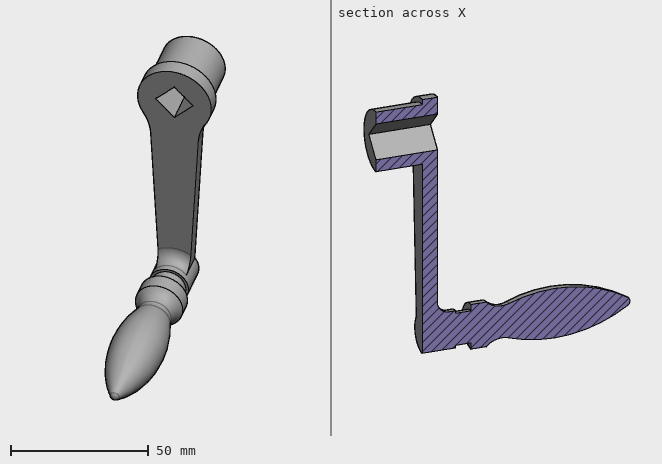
import cadquery as cq
import math


hub_head_radius = 14.0
hub_barrel_radius = 12.0
hub_barrel_length = 18.0
square_hole_side = 10.0

arm_thickness = 6.0
arm_length = 80.0
arm_taper = math.radians(3.0)
arm_half_width_at_hub = 9.9
hub_blend_radius = 18.0

boss_radius = 7.5
boss_end = 13.0
boss_fillet_radius = 4.6

neck_radius = 6.5
collar_radius = 9.0
collar_start = 19.0
collar_end = 25.0
throat_position = 31.0
belly_radius = 10.0
belly_position = 51.5
tip_radius = 2.0
handle_end = 81.0


def arm_half_width(distance):
    """Half width of the tapered arm at a distance below the hub axis."""
    return arm_half_width_at_hub - distance * math.tan(arm_taper)


def cylinder(radius, start, end, drop=0.0):
    """Cylinder along -Y from start to end, its axis lying drop below the hub axis."""
    return (
        cq.Workplane("XZ", origin=(0, -start, -drop))
        .circle(radius)
        .extrude(end - start)
    )


def arm_wedge(depth):
    """Tapered arm between the hub axis and the handle axis."""
    top = arm_half_width(0)
    bottom = arm_half_width(arm_length)
    return (
        cq.Workplane("XZ")
        .polyline([(-top, 0), (top, 0), (bottom, -arm_length), (-bottom, -arm_length)])
        .close()
        .extrude(depth)
    )


def make_arm():
    """Flat arm with a round head, blended where the sides leave the head."""
    plate = cylinder(hub_head_radius, 0, arm_thickness).union(arm_wedge(arm_thickness))
    corner_zone = cq.selectors.BoxSelector(
        (-hub_head_radius, -arm_thickness, -hub_head_radius),
        (hub_head_radius, 0, -hub_head_radius / 2),
    )
    plate = plate.edges("|Y").edges(corner_zone).fillet(hub_blend_radius)
    return plate.union(cylinder(boss_radius, 0, boss_end, arm_length))


def revolve_about_handle(profile):
    """Revolve a (radius, distance) profile about the handle axis."""
    return profile.close().revolve(360, (0, 0, 0), (0, 1, 0))


def handle_plane():
    """Sketch plane: first coordinate is radius, second runs along -Y on the handle axis."""
    plane = cq.Plane(origin=(0, 0, -arm_length), xDir=(0, 0, 1), normal=(1, 0, 0))
    return cq.Workplane(plane)


def make_boss_fillet():
    """Concave fillet between the boss and the arm face, cut off flush with the arm sides."""
    outer = boss_radius + boss_fillet_radius
    end = arm_thickness + boss_fillet_radius
    inset = boss_fillet_radius * (1 - math.sqrt(0.5))
    profile = (
        handle_plane()
        .moveTo(0, 0)
        .lineTo(outer, 0)
        .lineTo(outer, arm_thickness)
        .threePointArc((boss_radius + inset, arm_thickness + inset), (boss_radius, end))
        .lineTo(0, end)
    )
    return revolve_about_handle(profile).intersect(arm_wedge(end))


def make_handle():
    """Turned handle: neck, collar, throat, belly and rounded tip joined by tangent arcs."""
    tip_center = handle_end - tip_radius
    tip_run = tip_center - belly_position
    belly_curve = (tip_run**2 + belly_radius**2 - tip_radius**2) / (2 * (belly_radius - tip_radius))
    belly_center = belly_radius - belly_curve
    tip_angle = math.atan2(-belly_center, tip_run)
    tip_joint = (tip_radius * math.sin(tip_angle), tip_center + tip_radius * math.cos(tip_angle))

    throat_rise = belly_radius - neck_radius
    throat_run = belly_position - throat_position
    center_distance = (throat_run**2 + throat_rise**2) / (2 * throat_rise)
    throat_curve = center_distance - belly_curve
    throat_share = throat_curve / center_distance
    throat_joint = (
        neck_radius + throat_rise * throat_share,
        throat_position + throat_run * throat_share,
    )

    flare_run = throat_position - collar_end
    flare_rise = collar_radius - neck_radius
    flare_curve = (flare_run**2 + flare_rise**2) / (2 * flare_rise)

    def arc_radius_at(curve, run):
        """Handle radius on an arc of radius curve, at a run along the axis from the throat."""
        return neck_radius + curve - math.sqrt(curve**2 - run**2)

    flare_middle = (arc_radius_at(flare_curve, flare_run / 2), throat_position - flare_run / 2)
    throat_half_run = (throat_joint[1] - throat_position) / 2
    throat_middle = (arc_radius_at(throat_curve, throat_half_run), throat_position + throat_half_run)
    tip_middle = (
        tip_radius * math.sin(tip_angle / 2),
        tip_center + tip_radius * math.cos(tip_angle / 2),
    )

    profile = (
        handle_plane()
        .moveTo(0, arm_thickness)
        .lineTo(neck_radius, arm_thickness)
        .lineTo(neck_radius, collar_start)
        .lineTo(collar_radius, collar_start)
        .lineTo(collar_radius, collar_end)
        .threePointArc(flare_middle, (neck_radius, throat_position))
        .threePointArc(throat_middle, throat_joint)
        .threePointArc((belly_radius, belly_position), tip_joint)
        .threePointArc(tip_middle, (0, handle_end))
    )
    return revolve_about_handle(profile)


def make_square_hole():
    """Square drive hole through the hub, standing on one corner."""
    return (
        cq.Workplane("XZ", origin=(0, hub_barrel_length, 0))
        .transformed(rotate=(0, 0, 45))
        .rect(square_hole_side, square_hole_side)
        .extrude(hub_barrel_length + arm_thickness)
    )


result = (
    make_arm()
    .union(cylinder(hub_barrel_radius, -hub_barrel_length, 0))
    .union(make_boss_fillet())
    .union(make_handle())
    .cut(make_square_hole())
)